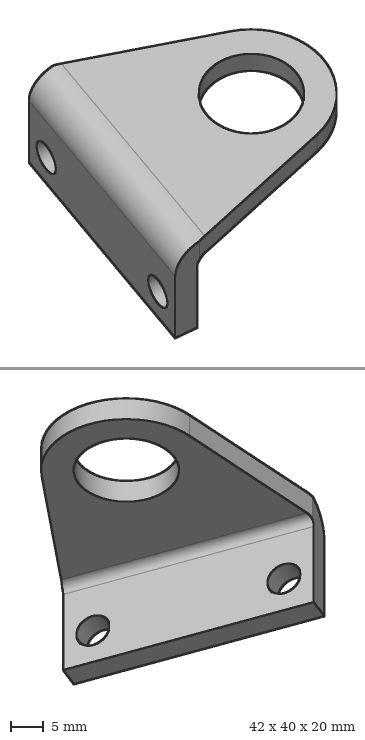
import cadquery as cq
import math

width = 42.0
depth = 39.95
height = 20.0
thickness = 4.0
bend_outer_radius = 5.6
bend_inner_radius = bend_outer_radius - thickness

end_radius = 13.0
end_center_y = depth - end_radius
eye_diameter = 16.1
taper_start_y = 4.35

mount_diameter = 5.5
mount_spacing = 32.0
mount_height = 6.0


def bent_sheet():
    """L-shaped sheet with concentric bend radii, extruded across the width."""
    sheet = (
        cq.Workplane("YZ")
        .polyline([
            (0, 0),
            (thickness, 0),
            (thickness, height - thickness),
            (depth, height - thickness),
            (depth, height),
            (0, height),
        ])
        .close()
        .extrude(width / 2, both=True)
    )
    inner_corner = cq.selectors.NearestToPointSelector((0, thickness, height - thickness))
    outer_corner = cq.selectors.NearestToPointSelector((0, 0, height))
    sheet = sheet.edges(inner_corner).fillet(bend_inner_radius)
    return sheet.edges(outer_corner).fillet(bend_outer_radius)


def tapered_outline():
    """Plan outline: straight sides tangent to the rounded end."""
    half_width = width / 2
    rise = end_center_y - taper_start_y
    corner_distance = math.hypot(half_width, rise)
    corner_angle = math.atan2(-rise, half_width)
    tangent_angle = corner_angle + math.acos(end_radius / corner_distance)
    tangent_x = end_radius * math.cos(tangent_angle)
    tangent_y = end_center_y + end_radius * math.sin(tangent_angle)
    return (
        cq.Workplane("XY")
        .moveTo(-half_width, 0)
        .lineTo(half_width, 0)
        .lineTo(half_width, taper_start_y)
        .lineTo(tangent_x, tangent_y)
        .threePointArc((0, depth), (-tangent_x, tangent_y))
        .lineTo(-half_width, taper_start_y)
        .close()
        .extrude(height)
    )


def eye_hole():
    """Large vertical hole concentric with the rounded end."""
    return (
        cq.Workplane("XY")
        .center(0, end_center_y)
        .circle(eye_diameter / 2)
        .extrude(height)
    )


def mounting_holes():
    """Pair of holes through the vertical flange, along Y."""
    return (
        cq.Workplane("XZ")
        .pushPoints([(side * mount_spacing / 2, mount_height) for side in (-1, 1)])
        .circle(mount_diameter / 2)
        .extrude(-thickness)
    )


result = bent_sheet().intersect(tapered_outline()).cut(eye_hole()).cut(mounting_holes())